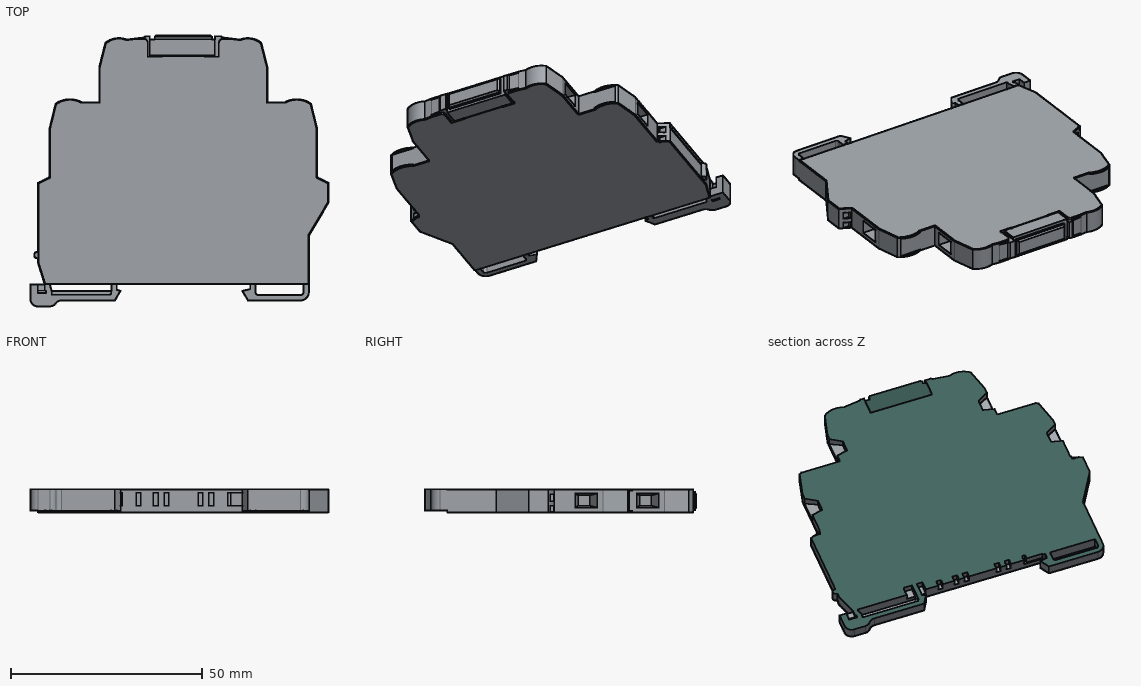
import cadquery as cq

thickness = 6.2
edge_chamfer = 0.2

base_half_width = 38.0
shoulder_half_width = 35.0
head_half_width = 22.0
base_top = 26.5
waist_y = 28.0
shoulder_bevel_y = 40.7
shoulder_floor = 47.65
shoulder_inner_x = 26.6
shoulder_crest = (30.0, 48.4)
shoulder_tip = (33.4, 47.2)
head_bevel_y = 56.8
head_top = 64.25
head_tip = (20.4, 63.1)
head_crest = (17.6, 64.35)
head_dip = (14.8, 64.0)
head_flat_half_width = 12.8
left_foot_corner_x = -36.25
left_foot_bevel_y = 5.6
right_wall_x = 32.85
right_bevel_y = 12.8
right_bevel_top = 21.4

window_half_width = 9.3
window_floor = 59.65
window_corner_radius = 1.2
relief_inner_x = 5.6
relief_floor = 59.45
core_bottom = 0.65
core_top = 5.55
wing_top = 64.85
wing_tip_x = 9.8
wing_shoulder = (10.3, 64.55)
wing_root_y = 62.0
insert_left = -8.75
insert_right = 8.25
insert_floor = 59.85
insert_top = 64.0
lens_half_width = 7.5
lens_top = 65.1
lens_bottom_z = 0.85
lens_top_z = 5.35
lens_chamfer = 0.45

terminal_length = 5.7
terminal_bottom_z = 1.35
terminal_height = 3.7
terminal_depth = 3.0
terminal_taper_low = 0.75
terminal_taper_high = 1.9
terminal_taper_z = 0.5
terminal_sites = [(head_half_width, 49.6), (shoulder_half_width, 33.5)]

shoulder_rim = 0.5

waist_window_y = 27.0
waist_window_length = 0.95
waist_window_depth_x = 35.2
waist_windows_z = [(0.25, 1.85), (3.05, 4.8)]

strip_bottom_z = 4.75
strip_depth = 0.15
strip_bottom_y = 5.7
strip_top_y = 26.3

nub_y = 7.65
nub_radius = 0.85
nub_centre_x = -38.15
nub_bottom_z = 0.65
nub_top_z = 5.0

vent_bottom_z = 1.8
vent_top_z = 5.2
vent_width = 1.2
vent_depth = 1.5
vent_starts = [-12.3, -7.8, -5.0, 3.9, 6.7]
left_pockets = [(-21.1, -18.8), (-17.35, -15.9)]
left_pocket_depth = 2.5
right_slot = (11.6, 12.35)
right_recess = (12.35, 16.8)
right_recess_depth = 0.3

foot_bottom_z = 0.55
foot_bar_outer = -4.25
foot_bar_inner = -2.73
foot_hook_y = -1.7
left_foot_x = -40.0
left_foot_bottom = -5.8
left_foot_radius = 2.0
left_curve_start = (-34.9, left_foot_bottom)
left_curve_convex = (-34.1, -5.6)
left_curve_middle = (-33.4, -5.03)
left_curve_concave = (-32.7, -4.45)
left_curve_end = (-31.9, foot_bar_outer)
left_hook_root = (-17.9, foot_bar_outer)
left_hook_tip = (-16.4, foot_hook_y)
left_stem_x = -17.35
left_hook_back_y = -1.4
left_heel_x = -34.85
left_cavity = (-34.4, -18.8)
left_web_top_z = 3.0
latch_notch = (-38.0, -36.2)
latch_slot = (-38.0, -35.9)
latch_slot_width = 0.5
right_hook_root = (16.9, foot_bar_outer)
right_hook_tip = (15.4, foot_hook_y)
right_stem_x = 17.45
right_hook_back_y = -1.2
right_cavity = (18.9, 31.35)
right_foot_radius = 2.3
cavity_radius = 0.6


def box(x_range, y_range, z_range):
    """Axis-aligned block spanning the given ranges."""
    return (
        cq.Workplane("XY")
        .box(x_range[1] - x_range[0], y_range[1] - y_range[0], z_range[1] - z_range[0], centered=False)
        .translate((x_range[0], y_range[0], z_range[0]))
    )


def across(point):
    """The point mirrored across x = 0."""
    return (-point[0], point[1])


def both_sides(shape):
    """The shape and its mirror image across x = 0."""
    return [shape, shape.mirror("YZ")]


def housing_outline(z):
    """Closed outline of the stepped plate with bulged shoulders and head, at height z."""
    return (
        cq.Workplane("XY", origin=(0, 0, z))
        .moveTo(left_foot_corner_x, 0)
        .lineTo(-base_half_width, left_foot_bevel_y)
        .lineTo(-base_half_width, base_top)
        .lineTo(-shoulder_half_width, waist_y)
        .lineTo(-shoulder_half_width, shoulder_bevel_y)
        .lineTo(*across(shoulder_tip))
        .threePointArc(across(shoulder_crest), (-shoulder_inner_x, shoulder_floor))
        .lineTo(-head_half_width, shoulder_floor)
        .lineTo(-head_half_width, head_bevel_y)
        .lineTo(*across(head_tip))
        .threePointArc(across(head_crest), across(head_dip))
        .lineTo(-head_flat_half_width, head_top)
        .lineTo(head_flat_half_width, head_top)
        .lineTo(*head_dip)
        .threePointArc(head_crest, head_tip)
        .lineTo(head_half_width, head_bevel_y)
        .lineTo(head_half_width, shoulder_floor)
        .lineTo(shoulder_inner_x, shoulder_floor)
        .threePointArc(shoulder_crest, shoulder_tip)
        .lineTo(shoulder_half_width, shoulder_bevel_y)
        .lineTo(shoulder_half_width, waist_y)
        .lineTo(base_half_width, base_top)
        .lineTo(base_half_width, right_bevel_top)
        .lineTo(right_wall_x, right_bevel_y)
        .lineTo(right_wall_x, 0)
        .close()
    )


def housing_plate():
    """Plate with a 45 degree chamfer round both faces."""
    slab = housing_outline(edge_chamfer).extrude(thickness - 2 * edge_chamfer)
    upper_rim = housing_outline(thickness - edge_chamfer).extrude(edge_chamfer, taper=45)
    lower_rim = upper_rim.mirror("XY").translate((0, 0, thickness))
    return slab.union(upper_rim).union(lower_rim)


def window_opening():
    """Notch in the head with flared mouth corners and deeper relief at both floor corners."""
    mouth_y = head_top - window_corner_radius
    flare_x = window_half_width + window_corner_radius
    over_y = lens_top
    opening = (
        cq.Workplane("XY")
        .moveTo(-window_half_width, window_floor)
        .lineTo(-window_half_width, mouth_y)
        .radiusArc((-flare_x, head_top), -window_corner_radius)
        .lineTo(-flare_x, over_y)
        .lineTo(flare_x, over_y)
        .lineTo(flare_x, head_top)
        .radiusArc((window_half_width, mouth_y), -window_corner_radius)
        .lineTo(window_half_width, window_floor)
        .close()
        .extrude(thickness)
    )
    relief = box((relief_inner_x, window_half_width), (relief_floor, insert_floor), (0, thickness))
    for corner in both_sides(relief):
        opening = opening.union(corner)
    return opening


def window_core():
    """Thinner lining of the window, with wings that rise beside the insert."""
    lining = (
        cq.Workplane("XY")
        .workplane(offset=core_bottom)
        .moveTo(-window_half_width, relief_floor)
        .lineTo(-window_half_width, wing_root_y)
        .lineTo(-head_flat_half_width, wing_root_y)
        .lineTo(-head_flat_half_width, head_top)
        .lineTo(*across(wing_shoulder))
        .lineTo(-wing_tip_x, wing_top)
        .lineTo(wing_tip_x, wing_top)
        .lineTo(*wing_shoulder)
        .lineTo(head_flat_half_width, head_top)
        .lineTo(head_flat_half_width, wing_root_y)
        .lineTo(window_half_width, wing_root_y)
        .lineTo(window_half_width, relief_floor)
        .close()
        .extrude(core_top - core_bottom)
    )
    return lining.cut(insert_space())


def insert_space():
    """Room in the window taken by the insert."""
    return box((insert_left, insert_right), (insert_floor, lens_top), (0, thickness))


def terminal_pocket(wall_x, start_y):
    """Tapered pocket entering the right-hand wall at wall_x."""
    floor_length = terminal_length - terminal_taper_low - terminal_taper_high
    floor_height = terminal_height - 2 * terminal_taper_z
    floor_y = start_y + terminal_taper_low + floor_length / 2
    mouth_centre = (start_y + terminal_length / 2, terminal_bottom_z + terminal_height / 2)
    return (
        cq.Workplane("YZ", origin=(wall_x, 0, 0))
        .center(*mouth_centre)
        .rect(terminal_length, terminal_height)
        .workplane(offset=-terminal_depth)
        .center(floor_y - mouth_centre[0], 0)
        .rect(floor_length, floor_height)
        .loft(combine=True)
    )


def shoulder_groove():
    """Groove between the two bulged rims of the right-hand shoulder."""
    return box(
        (shoulder_inner_x, shoulder_half_width),
        (shoulder_floor, head_bevel_y),
        (shoulder_rim, thickness - shoulder_rim),
    )


def waist_window(z_range):
    """Pocket in the right-hand waist slope."""
    y_range = (waist_window_y, waist_window_y + waist_window_length)
    return box((waist_window_depth_x, base_half_width), y_range, z_range)


def rail_wall_pocket(x_range, depth):
    """Rectangular pocket sunk into the rail-side wall."""
    return box(x_range, (0, depth), (vent_bottom_z, vent_top_z))


def latch_nub():
    """Rounded bar on the left wall."""
    return (
        cq.Workplane("XY", origin=(nub_centre_x, nub_y, nub_bottom_z))
        .circle(nub_radius)
        .extrude(nub_top_z - nub_bottom_z)
    )


def left_foot():
    """Sliding-latch foot: thick rounded head, hooked bar, lower web in its cavity."""
    height = thickness - foot_bottom_z
    foot = (
        cq.Workplane("XY", origin=(0, 0, foot_bottom_z))
        .moveTo(left_foot_x, 0)
        .lineTo(left_foot_x, left_foot_bottom + left_foot_radius)
        .radiusArc((left_foot_x + left_foot_radius, left_foot_bottom), -left_foot_radius)
        .lineTo(*left_curve_start)
        .threePointArc(left_curve_convex, left_curve_middle)
        .threePointArc(left_curve_concave, left_curve_end)
        .lineTo(*left_hook_root)
        .lineTo(*left_hook_tip)
        .lineTo(left_stem_x, left_hook_back_y)
        .lineTo(left_stem_x, 0)
        .lineTo(left_cavity[1], 0)
        .lineTo(left_cavity[1], foot_bar_inner + cavity_radius)
        .radiusArc((left_cavity[1] - cavity_radius, foot_bar_inner), cavity_radius)
        .lineTo(left_cavity[0], foot_bar_inner)
        .lineTo(left_cavity[0], foot_hook_y)
        .lineTo(left_heel_x, 0)
        .close()
        .extrude(height)
    )
    web = box(left_cavity, (foot_bar_inner - cavity_radius, foot_hook_y), (foot_bottom_z, left_web_top_z))
    notch = box(latch_notch, (foot_hook_y, 0), (left_web_top_z, thickness))
    slot = box(latch_slot, (foot_hook_y - latch_slot_width, foot_hook_y), (0, thickness))
    return foot.union(web).cut(notch).cut(slot)


def right_foot():
    """Fixed hook foot."""
    return (
        cq.Workplane("XY", origin=(0, 0, foot_bottom_z))
        .moveTo(right_wall_x, 0)
        .lineTo(right_wall_x, foot_bar_outer + right_foot_radius)
        .radiusArc((right_wall_x - right_foot_radius, foot_bar_outer), right_foot_radius)
        .lineTo(*right_hook_root)
        .lineTo(*right_hook_tip)
        .lineTo(right_stem_x, right_hook_back_y)
        .lineTo(right_stem_x, 0)
        .lineTo(right_cavity[0], 0)
        .lineTo(right_cavity[0], foot_bar_inner + cavity_radius)
        .radiusArc((right_cavity[0] + cavity_radius, foot_bar_inner), -cavity_radius)
        .lineTo(right_cavity[1] - cavity_radius, foot_bar_inner)
        .radiusArc((right_cavity[1], foot_bar_inner + cavity_radius), -cavity_radius)
        .lineTo(right_cavity[1], 0)
        .close()
        .extrude(thickness - foot_bottom_z)
    )


def make_housing():
    """Housing plate with window, pockets, latch nub and rail feet."""
    body = housing_plate().cut(window_opening()).union(window_core())
    for wall_x, start_y in terminal_sites:
        for pocket in both_sides(terminal_pocket(wall_x, start_y)):
            body = body.cut(pocket)
    for groove in both_sides(shoulder_groove()):
        body = body.cut(groove)
    for z_range in waist_windows_z:
        for pocket in both_sides(waist_window(z_range)):
            body = body.cut(pocket)
    for start_x in vent_starts:
        body = body.cut(rail_wall_pocket((start_x, start_x + vent_width), vent_depth))
    for x_range in left_pockets:
        body = body.cut(rail_wall_pocket(x_range, left_pocket_depth))
    body = body.cut(rail_wall_pocket(right_slot, vent_depth))
    body = body.cut(rail_wall_pocket(right_recess, right_recess_depth))
    strip = box(
        (-base_half_width, strip_depth - base_half_width),
        (strip_bottom_y, strip_top_y),
        (strip_bottom_z, thickness),
    )
    return body.cut(strip).union(latch_nub()).union(left_foot()).union(right_foot())


def make_insert():
    """Marker insert: full-thickness block with a thinner, bevelled lens on its outer edge."""
    block = box((insert_left, insert_right), (insert_floor, insert_top), (0, thickness))
    lens = box((-lens_half_width, lens_half_width), (insert_top, lens_top), (lens_bottom_z, lens_top_z))
    lens = lens.faces(">Y").chamfer(lens_chamfer)
    return block.union(lens)


housing = make_housing()
insert = make_insert()
result = cq.Compound.makeCompound([housing.val(), insert.val()])